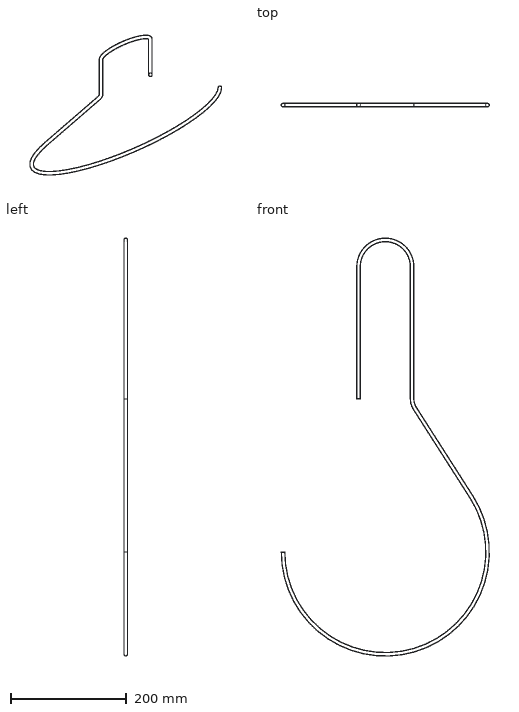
import cadquery as cq
import math

total_height = 721.0
total_width = 359.0
wire_diameter = 6.4
hanger_width = 99.0
leg_length = 228.0
bend_radius = 31.0

wire_radius = wire_diameter / 2
hook_radius = total_width / 2 - wire_radius
loop_radius = hanger_width / 2 - wire_radius
loop_center_z = total_height - total_width / 2 - hanger_width / 2
leg_end_z = loop_center_z - leg_length

bend_center_x = loop_radius + bend_radius
center_distance = math.hypot(bend_center_x, leg_end_z)
shank_angle = math.atan2(leg_end_z, bend_center_x) - math.acos(
    (hook_radius + bend_radius) / center_distance
)


def point_on_arc(center, radius, angle):
    """Return the XZ point at an angle measured from +X towards +Z."""
    return (
        center[0] + radius * math.cos(angle),
        center[1] + radius * math.sin(angle),
    )


hook_center = (0, 0)
bend_center = (bend_center_x, leg_end_z)
bend_end_angle = math.pi + shank_angle
bend_middle_angle = math.pi + shank_angle / 2
hook_middle_angle = (shank_angle - math.pi) / 2

centerline = (
    cq.Workplane("XZ")
    .moveTo(-loop_radius, leg_end_z)
    .lineTo(-loop_radius, loop_center_z)
    .threePointArc((0, loop_center_z + loop_radius), (loop_radius, loop_center_z))
    .lineTo(loop_radius, leg_end_z)
    .threePointArc(
        point_on_arc(bend_center, bend_radius, bend_middle_angle),
        point_on_arc(bend_center, bend_radius, bend_end_angle),
    )
    .lineTo(*point_on_arc(hook_center, hook_radius, shank_angle))
    .threePointArc(
        point_on_arc(hook_center, hook_radius, hook_middle_angle),
        (-hook_radius, 0),
    )
)

result = (
    cq.Workplane("XY", origin=(-loop_radius, 0, leg_end_z))
    .circle(wire_radius)
    .sweep(centerline)
)